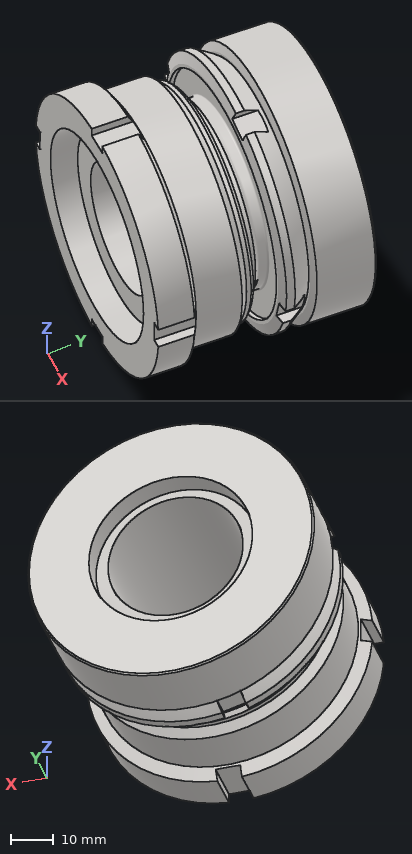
import cadquery as cq
import math


outer_radius = 35.0
rim_radius = 32.0
bevel_radial = outer_radius - rim_radius
bore_radius = 16.5
thread_radius = 25.0
thread_chamfer = 1.1

notch_count = 4
notch_width = 6.0
notch_floor_radius = 32.5
notch_cut_height = 2 * (outer_radius - notch_floor_radius)

flange_end = 11.0
flange_bevel_length = bevel_radial * math.tan(math.radians(30))
nut_end = 27.0
nose_radius = 30.0
nose_chamfer = 1.0
nose_start = 24.8
shoulder_bevel = rim_radius - nose_radius
counterbore_radius = 26.5
counterbore_depth = 12.0

stud_front = 5.8
pilot_radius = thread_radius - thread_chamfer
pilot_end = counterbore_depth - thread_chamfer
thread_end = 30.6
undercut_radius = 23.75
undercut_fillet = 0.5
thread_end_chamfer = thread_radius - undercut_radius
collar_front = 32.0
recess_radius = 31.0
recess_depth = 1.25
recess_floor = collar_front + recess_depth
collar_bevel_length = bevel_radial * math.tan(math.radians(15))
collar_cylinder_end = 35.0
stud_turn = 15.0

ball_radius = 40.0
ball_center = collar_cylinder_end - math.sqrt(ball_radius**2 - outer_radius**2)

ring_front = 39.95
ring_length = 16.0
ring_end = ring_front + ring_length
ring_rim_radius = 32.6
ring_bevel_length = (outer_radius - ring_rim_radius) * math.tan(math.radians(15))
ring_rear_chamfer = 0.4
ring_bore_radius = 20.0
ring_tilt = 0.54


def ball_y(radius):
    """Y position of the rear half of the ball at a given distance from the axis."""
    return ball_center + math.sqrt(ball_radius**2 - radius**2)


def turned(profile):
    """Revolve a closed (radius, Y) profile about the Y axis."""
    return profile.close().revolve(360, (0, 0, 0), (0, 1, 0))


def cut_notches(body, start, end, turn):
    """Cut the spanner notches between two Y positions, turned clockwise seen from the front."""
    for index in range(notch_count):
        notch = (
            cq.Workplane("XY")
            .box(notch_width, end - start, notch_cut_height, centered=(True, False, False))
            .translate((0, start, notch_floor_radius))
            .rotate((0, 0, 0), (0, 1, 0), turn + index * 360 / notch_count)
        )
        body = body.cut(notch)
    return body


def make_nut():
    profile = (
        cq.Workplane("XY")
        .moveTo(counterbore_radius, 0)
        .lineTo(outer_radius, 0)
        .lineTo(outer_radius, flange_end - flange_bevel_length)
        .lineTo(rim_radius, flange_end)
        .lineTo(rim_radius, nose_start - shoulder_bevel)
        .lineTo(nose_radius, nose_start)
        .lineTo(nose_radius, nut_end - nose_chamfer)
        .lineTo(nose_radius - nose_chamfer, nut_end)
        .lineTo(thread_radius, nut_end)
        .lineTo(thread_radius, counterbore_depth)
        .lineTo(counterbore_radius, counterbore_depth)
    )
    return cut_notches(turned(profile), 0, flange_end, 0)


def make_stud():
    middle_radius = (outer_radius + bore_radius) / 2
    profile = (
        cq.Workplane("XY")
        .moveTo(bore_radius, stud_front)
        .lineTo(pilot_radius, stud_front)
        .lineTo(pilot_radius, pilot_end)
        .lineTo(thread_radius, pilot_end + thread_chamfer)
        .lineTo(thread_radius, thread_end - thread_end_chamfer)
        .lineTo(undercut_radius, thread_end)
        .lineTo(undercut_radius, recess_floor)
        .lineTo(recess_radius, recess_floor)
        .lineTo(recess_radius, collar_front)
        .lineTo(rim_radius, collar_front)
        .lineTo(outer_radius, collar_front + collar_bevel_length)
        .lineTo(outer_radius, collar_cylinder_end)
        .threePointArc((middle_radius, ball_y(middle_radius)), (bore_radius, ball_y(bore_radius)))
    )
    undercut_corners = cq.selectors.BoxSelector(
        (-thread_radius, thread_end - undercut_fillet, -thread_radius),
        (thread_radius, recess_floor + undercut_fillet, thread_radius),
        boundingbox=True,
    )
    body = turned(profile).edges(undercut_corners).edges("%CIRCLE").fillet(undercut_fillet)
    return cut_notches(body, collar_front, ring_front, stud_turn)


def make_seat_ring():
    seat_radius = math.sqrt(ball_radius**2 - (ring_front - ball_center) ** 2)
    middle_radius = (seat_radius + ring_bore_radius) / 2
    profile = (
        cq.Workplane("XY")
        .moveTo(seat_radius, ring_front)
        .lineTo(ring_rim_radius, ring_front)
        .lineTo(outer_radius, ring_front + ring_bevel_length)
        .lineTo(outer_radius, ring_end - ring_rear_chamfer)
        .lineTo(outer_radius - ring_rear_chamfer, ring_end)
        .lineTo(ring_bore_radius, ring_end)
        .lineTo(ring_bore_radius, ball_y(ring_bore_radius))
        .threePointArc((middle_radius, ball_y(middle_radius)), (seat_radius, ring_front))
    )
    return turned(profile).rotate((0, ball_center, 0), (1, ball_center, 0), -ring_tilt)


nut = make_nut()
stud = make_stud()
seat_ring = make_seat_ring()

result = cq.Compound.makeCompound([nut.val(), stud.val(), seat_ring.val()])